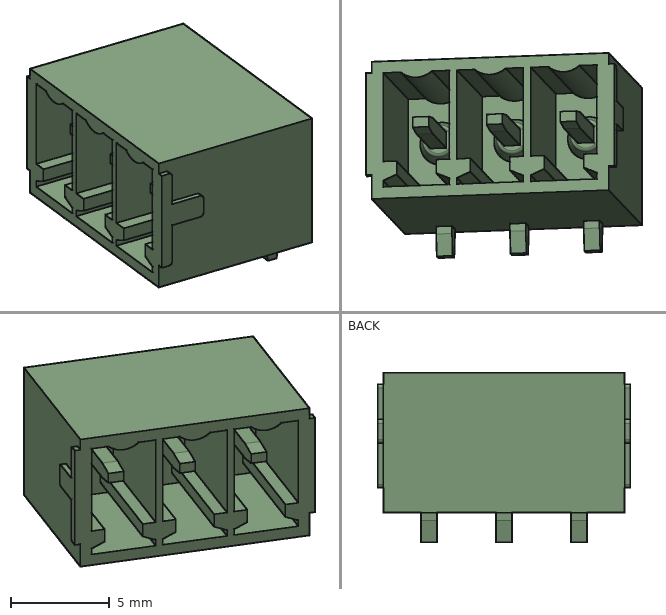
import cadquery as cq

overall_width = 12.82
housing_depth = 9.2
housing_height = 7.1
pole_count = 3
pole_pitch = 3.81
contact_height = 4.14

flange_thickness = 0.3
flange_bottom = 1.25
flange_top = 6.53
flange_bar_depth = 0.62
flange_stem_depth = 2.5
flange_stem_bottom = 3.53
flange_stem_top = 4.73
flange_corner_radius = 0.19
housing_width = overall_width - 2 * flange_thickness

cavity_width = 3.42
cavity_depth = 6.92
cavity_wall = 0.6
cavity_bottom = cavity_wall
cavity_top = housing_height - cavity_wall
ledge_width = 0.69
ledge_top = 1.91
ledge_edge_bottom = 1.22
ledge_root_bottom = 0.92
key_width = 1.62
key_drop = 0.3

boss_base_radius = 1.1
boss_tip_radius = 0.8
boss_length = 0.87
boss_rim_round = 0.18

pin_width = 0.82
pin_thickness = 0.82
pin_tip_y = 1.22
pin_tip_chamfer_length = 1.03
pin_tip_flat = 0.53
pin_leg_y = 8.01
leg_length = 1.5
leg_straight = 0.37
leg_thickness = 0.86
leg_tip_thickness = 0.51

pole_positions = [(index - (pole_count - 1) / 2) * pole_pitch for index in range(pole_count)]


def make_flange_plate(side, depth, bottom, top):
    """Plate on one side wall, from the front face back to rounded rear corners."""
    height = top - bottom
    center_x = side * (housing_width + flange_thickness) / 2
    return (
        cq.Workplane("XY")
        .box(flange_thickness, depth, height)
        .edges("|X and >Y")
        .fillet(flange_corner_radius)
        .translate((center_x, depth / 2, bottom + height / 2))
    )


def make_flange(side):
    """T-shaped flange made of an upright bar and a stem; side is -1 or +1."""
    bar = make_flange_plate(side, flange_bar_depth, flange_bottom, flange_top)
    stem = make_flange_plate(side, flange_stem_depth, flange_stem_bottom, flange_stem_top)
    return bar.union(stem)


def make_cavity(x):
    """Plug space with two guide ledges low down and a rounded key at the top."""
    half = cavity_width / 2
    inner = half - ledge_width
    return (
        cq.Workplane("XZ", origin=(x, 0, 0))
        .moveTo(-half, cavity_bottom)
        .lineTo(half, cavity_bottom)
        .lineTo(half, ledge_root_bottom)
        .lineTo(inner, ledge_edge_bottom)
        .lineTo(inner, ledge_top)
        .lineTo(half, ledge_top)
        .lineTo(half, cavity_top)
        .lineTo(key_width / 2, cavity_top)
        .threePointArc((0, cavity_top - key_drop), (-key_width / 2, cavity_top))
        .lineTo(-half, cavity_top)
        .lineTo(-half, ledge_top)
        .lineTo(-inner, ledge_top)
        .lineTo(-inner, ledge_edge_bottom)
        .lineTo(-half, ledge_root_bottom)
        .close()
        .extrude(-cavity_depth)
    )


def make_boss(x):
    """Cone on the cavity's rear wall with a rounded front rim, centred on the pin's axis."""
    tip_y = cavity_depth - boss_length
    cone = (
        cq.Workplane("XY", origin=(x, 0, contact_height))
        .moveTo(0, cavity_depth)
        .lineTo(boss_base_radius, cavity_depth)
        .lineTo(boss_tip_radius, tip_y)
        .lineTo(0, tip_y)
        .close()
        .revolve(360, (0, 0, 0), (0, 1, 0))
    )
    return cone.faces("<Y").edges().fillet(boss_rim_round)


def make_pin(x):
    """L-shaped pin: a contact arm along Y with a chamfered tip and a tapered leg along Z."""
    arm_top = contact_height + pin_thickness / 2
    arm_bottom = contact_height - pin_thickness / 2
    chamfer_y = pin_tip_y + pin_tip_chamfer_length
    leg_front = pin_leg_y - leg_thickness / 2
    leg_back = pin_leg_y + leg_thickness / 2
    return (
        cq.Workplane("YZ", origin=(x, 0, 0))
        .moveTo(pin_tip_y, contact_height - pin_tip_flat / 2)
        .lineTo(chamfer_y, arm_bottom)
        .lineTo(leg_front, arm_bottom)
        .lineTo(leg_front, -leg_straight)
        .lineTo(pin_leg_y - leg_tip_thickness / 2, -leg_length)
        .lineTo(pin_leg_y + leg_tip_thickness / 2, -leg_length)
        .lineTo(leg_back, -leg_straight)
        .lineTo(leg_back, arm_top)
        .lineTo(chamfer_y, arm_top)
        .lineTo(pin_tip_y, contact_height + pin_tip_flat / 2)
        .close()
        .extrude(pin_width / 2, both=True)
    )


def make_housing(pins):
    """Block with flanges, cavities and bosses, bored to fit the pins."""
    body = cq.Workplane("XY").box(
        housing_width, housing_depth, housing_height, centered=(True, False, False)
    )
    for side in (-1, 1):
        body = body.union(make_flange(side))
    for x in pole_positions:
        body = body.cut(make_cavity(x)).union(make_boss(x))
    for pin in pins:
        body = body.cut(pin)
    return body


pins = [make_pin(x) for x in pole_positions]
housing = make_housing(pins)

result = cq.Compound.makeCompound([housing.val(), *[pin.val() for pin in pins]])